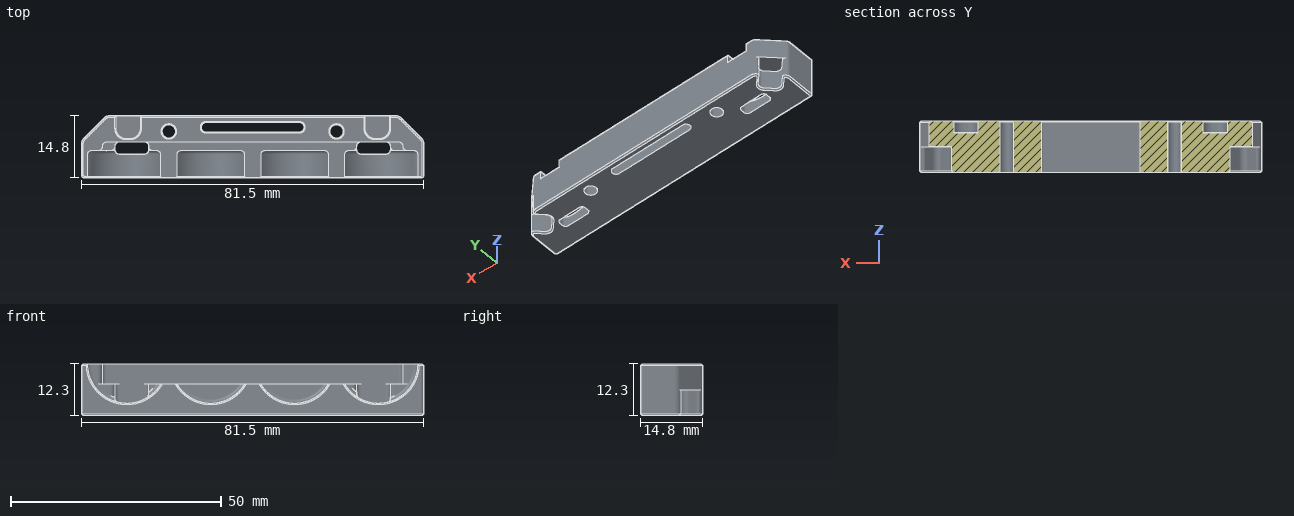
import cadquery as cq

length = 81.5
depth = 14.8
height = 12.3
corner_cut = 5.95
front_corner_radius = 0.65
back_corner_radius = 1.6
edge_chamfer = 0.4
rim_chamfer = 0.25
mid_x = length / 2

cradle_count = 4
cradle_pitch = 20.0
cradle_radius = 9.4
cradle_depth = 6.5
cradle_floor_fillet = 0.9
cradle_mouth_chamfer = 0.3

recess_radius = 1.0

step_height = 7.5
step_depth = 8.55
step_inset = 5.0
recess_depth = step_depth - cradle_depth

window_left = 8.0
window_right = 16.0
window_front = 5.7

notch_left = 8.15
notch_right = 14.0
notch_front = 9.4
notch_corner_radius = 2.45
notch_floor = 9.5

pocket_width = 5.6
pocket_depth = 4.65
pocket_height = 6.1
pocket_floor_radius = 1.5
pocket_lip_radius = 0.65
pocket_turn = -135

hole_diameter = 3.2
hole_spacing = 39.9
hole_y = 11.1
slot_length = 24.45
slot_width = 2.3
slot_y = 12.1

first_cradle_x = mid_x - cradle_pitch * (cradle_count - 1) / 2
last_cradle_x = length - first_cradle_x
cradle_centres = [first_cradle_x + cradle_pitch * i for i in range(cradle_count)]


def upright_box(x_start, x_end, y_start, y_end, z_start, z_end):
    """Box between the given limits."""
    size = (x_end - x_start, y_end - y_start, z_end - z_start)
    return cq.Workplane("XY").box(*size, centered=False).translate((x_start, y_start, z_start))


def on_both_ends(tool):
    """The tool together with its mirror image at the other end of the block."""
    return tool.union(tool.mirror("YZ", (mid_x, 0, 0)))


def flared_prism(half_width, depth_in, inner_radius, lip_radius, bottom, top):
    """Recess cutter entering along +Y from y = 0, with a rounded lip and rounded inner corners."""
    lip = (half_width + lip_radius, 0)
    half = (
        cq.Workplane("XY", origin=(0, 0, bottom))
        .moveTo(0, 0)
        .lineTo(*lip)
        .radiusArc((half_width, lip_radius), lip_radius)
        .lineTo(half_width, depth_in - inner_radius)
        .radiusArc((half_width - inner_radius, depth_in), -inner_radius)
        .lineTo(0, depth_in)
        .close()
        .extrude(top - bottom)
    )
    return half.union(half.mirror("YZ"))


def make_block():
    outline = [
        (0, 0),
        (length, 0),
        (length, depth - corner_cut),
        (length - corner_cut, depth),
        (corner_cut, depth),
        (0, depth - corner_cut),
    ]
    block = cq.Workplane("XY").polyline(outline).close().extrude(height)
    block = block.edges("|Z and (not <Y)").fillet(back_corner_radius)
    return block.edges("|Z and <Y").fillet(front_corner_radius)


def make_corner_pocket():
    pocket = flared_prism(
        pocket_width / 2, pocket_depth, pocket_floor_radius, pocket_lip_radius, 0, pocket_height
    )
    pocket = pocket.rotate((0, 0, 0), (0, 0, 1), pocket_turn)
    return pocket.translate((corner_cut / 2, depth - corner_cut / 2, 0))


def rimmed_cutter(profile, floor):
    """Upright cutter from the floor to the top face, where it flares into a chamfered rim."""
    shaft = profile.extrude(height).translate((0, 0, floor))
    rim = profile.toPending().extrude(rim_chamfer, taper=-45).translate((0, 0, height - rim_chamfer))
    return shaft.union(rim)


def make_notch():
    left_bend = notch_left + notch_corner_radius
    right_bend = notch_right - notch_corner_radius
    bend_y = notch_front + notch_corner_radius
    outside_y = depth + notch_corner_radius
    profile = (
        cq.Workplane("XY")
        .moveTo(notch_left, outside_y)
        .lineTo(notch_left, bend_y)
        .radiusArc((left_bend, notch_front), -notch_corner_radius)
        .lineTo(right_bend, notch_front)
        .radiusArc((notch_right, bend_y), -notch_corner_radius)
        .lineTo(notch_right, outside_y)
        .close()
    )
    return rimmed_cutter(profile, notch_floor)


def make_bolt_hole(x):
    return rimmed_cutter(cq.Workplane("XY").center(x, hole_y).circle(hole_diameter / 2), 0)


def make_slot():
    return rimmed_cutter(cq.Workplane("XY").center(mid_x, slot_y).slot2D(slot_length, slot_width), 0)


def make_cradle(x):
    """Round cutter with a filleted inner end and a chamfered mouth."""
    face = cq.Workplane("XZ", origin=(x, 0, height))
    bore = face.circle(cradle_radius).extrude(-cradle_depth).faces(">Y").edges().fillet(cradle_floor_fillet)
    mouth = face.circle(cradle_radius + cradle_mouth_chamfer).extrude(-cradle_mouth_chamfer, taper=45)
    return bore.union(mouth)


def make_step():
    front = upright_box(first_cradle_x, last_cradle_x, 0, step_depth, step_height, height)
    half_width = mid_x - step_inset
    back = flared_prism(half_width, recess_depth, recess_radius, recess_radius, step_height, height)
    return front.union(back.translate((mid_x, cradle_depth, 0)))


def make_window():
    """Through window whose sides are rounded over where they meet the flat back of the cradle."""
    through = upright_box(window_left, window_right, window_front, step_depth, 0, step_height)
    through = through.edges("|Z").fillet(recess_radius)
    half_width = (window_right - window_left) / 2
    lip = flared_prism(half_width, recess_depth, recess_radius, recess_radius, 0, step_height)
    lip = lip.translate(((window_left + window_right) / 2, cradle_depth, 0))
    flat_back = cq.Workplane("XZ", origin=(first_cradle_x, 0, height))
    flat_back = flat_back.circle(cradle_radius - cradle_floor_fillet).extrude(-depth)
    return through.union(lip.intersect(flat_back))


block = make_block()
block = block.cut(on_both_ends(make_corner_pocket()))
block = block.faces("<Z or >Z").edges().chamfer(edge_chamfer)

block = block.cut(on_both_ends(make_notch()))
block = block.cut(on_both_ends(make_bolt_hole(mid_x - hole_spacing / 2)))
block = block.cut(make_slot())

block = block.cut(make_step())
for x in cradle_centres:
    block = block.cut(make_cradle(x))
result = block.cut(on_both_ends(make_window()))